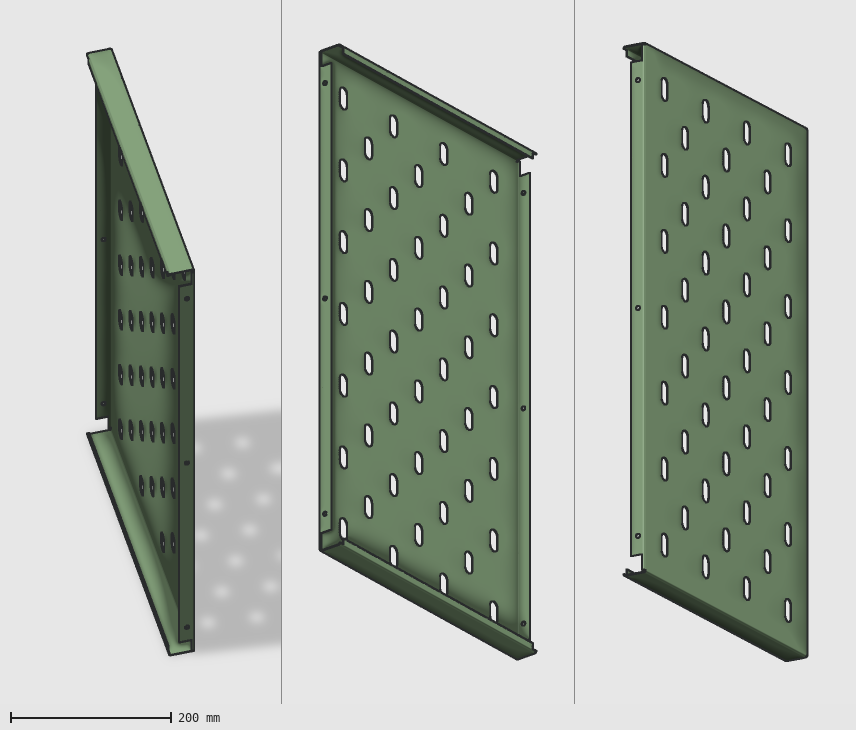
import cadquery as cq

width = 398.0
depth = 33.0
height = 698.0

thickness = 1.5
bend_radius = 3.0
inner_radius = bend_radius - thickness

side_depth = 20.0
side_end_gap = 24.0
side_stub_depth = 4.0

lip_height = 11.0
lip_end_gap = 7.0

slot_rows = 7
slot_columns = 4
column_span = 300.0
pitch = column_span / (slot_columns - 1)
slot_width = 15.0
slot_length = 30.0
side_hole_diameter = 5.5

back_y = depth / 2
front_y = -depth / 2
flange_width = width - 2 * bend_radius
tray_height = height - 2 * bend_radius


def box_between(x_range, y_range, z_range):
    """Box given by its limits on each axis."""
    lows, highs = zip(x_range, y_range, z_range)
    sizes = [high - low for low, high in zip(lows, highs)]
    return cq.Workplane("XY").box(*sizes, centered=False).translate(lows)


def make_channel():
    """Panel with its top and bottom flanges and their return lips."""
    outer = cq.Workplane("XY").box(flange_width, depth, height).edges("|X").fillet(bend_radius)
    inner = (
        cq.Workplane("XY")
        .box(flange_width, depth - 2 * thickness, height - 2 * thickness)
        .edges("|X")
        .fillet(inner_radius)
    )
    mouth = box_between(
        (-width / 2, width / 2),
        (front_y, 0),
        (lip_height - height / 2, height / 2 - lip_height),
    )
    channel = outer.cut(inner).cut(mouth)

    flat_limit = height / 2 - bend_radius
    lip_end = flange_width / 2 - lip_end_gap
    for x_range in ((-width / 2, -lip_end), (lip_end, width / 2)):
        notch = box_between(x_range, (front_y, front_y + bend_radius), (-flat_limit, flat_limit))
        channel = channel.cut(notch)
    return channel


def make_tray():
    """Panel with its two side flanges."""
    side_front_y = back_y - side_depth
    side_z = tray_height / 2
    outer = box_between((-width / 2, width / 2), (side_front_y, back_y), (-side_z, side_z))
    outer = outer.edges("|Z and >Y").fillet(bend_radius)
    inner_x = width / 2 - thickness
    inner = box_between((-inner_x, inner_x), (side_front_y, back_y - thickness), (-side_z, side_z))
    inner = inner.edges("|Z and >Y").fillet(inner_radius)
    tray = outer.cut(inner)

    flat_end = height / 2 - side_end_gap
    for z_range in ((-side_z, -flat_end), (flat_end, side_z)):
        notch = box_between((-width / 2, width / 2), (side_front_y, back_y - side_stub_depth), z_range)
        tray = tray.cut(notch)
    return tray


def make_slots():
    """Upright slots in full rows, with shorter staggered rows between them."""
    full_rows = cq.Workplane("XZ").rarray(pitch, pitch, slot_columns, slot_rows)
    staggered_rows = cq.Workplane("XZ").rarray(pitch, pitch, slot_columns - 1, slot_rows - 1)
    full_slots = full_rows.slot2D(slot_length, slot_width, 90).extrude(depth, both=True)
    staggered_slots = staggered_rows.slot2D(slot_length, slot_width, 90).extrude(depth, both=True)
    return full_slots.union(staggered_slots)


def make_side_holes():
    """Holes through both side flanges, level with the end rows and the middle row of slots."""
    end_row_z = pitch * (slot_rows - 1) / 2
    hole_y = back_y - side_depth / 2
    return (
        cq.Workplane("YZ")
        .pushPoints([(hole_y, z) for z in (-end_row_z, 0, end_row_z)])
        .circle(side_hole_diameter / 2)
        .extrude(width, both=True)
    )


result = make_channel().union(make_tray()).cut(make_slots()).cut(make_side_holes())